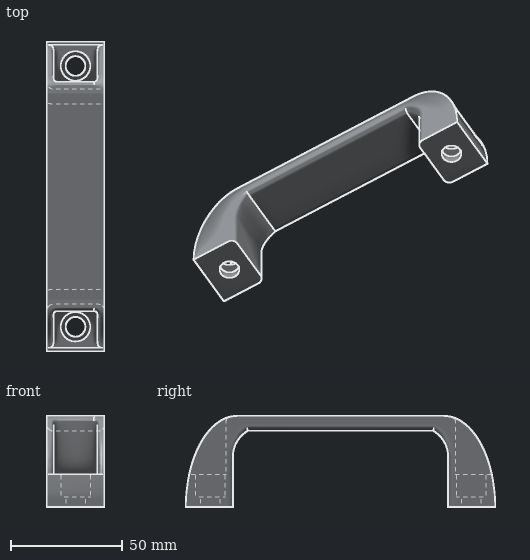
import cadquery as cq
import math

length = 139.0
width = 26.0
height = 41.0
half_length = length / 2
half_width = width / 2

end_run = 23.2
half_flat = half_length - end_run

leg_thickness = 21.3
grip_thickness = 6.8
arc_start_height = 22.7
opening_arc_radius = 13.3
opening_edge_radius = 3.0
opening_half = half_length - leg_thickness
opening_top = height - grip_thickness
arc_top = arc_start_height + opening_arc_radius

floor_height = 14.7
pocket_width = 19.7
pocket_wall_inset = 18.1
pocket_corner_radius = 1.7
rim_radius = 2.1

hole_inset = 11.0
hole_diameter = 8.8
counterbore_diameter = 13.2
counterbore_depth = 10.0

tolerance = 0.01


def make_outer_body():
    """Solid arch profile with elliptical ends, extruded across the width."""
    return (
        cq.Workplane("YZ", origin=(-half_width, 0, 0))
        .moveTo(half_length, 0)
        .ellipseArc(end_run, height, 0, 90, startAtCurrent=True)
        .lineTo(-half_flat, height)
        .ellipseArc(end_run, height, 90, 180, startAtCurrent=True)
        .close()
        .extrude(width)
    )


def fillet_where(body, edge_test, radius):
    """Round every edge of the body that passes the given test."""
    chosen = [edge for edge in body.edges().vals() if edge_test(edge)]
    return body.newObject(chosen).fillet(radius)


def make_legs():
    """Arch around a round-cornered opening, with its inner edges rounded."""
    opening = (
        cq.Workplane("XY")
        .box(width, 2 * opening_half, arc_top, centered=(True, True, False))
        .edges("|X and >Z")
        .fillet(opening_arc_radius)
    )
    return fillet_where(make_outer_body().cut(opening), is_opening_edge, opening_edge_radius)


def is_opening_edge(edge):
    """True for the opening's outline edges on the two side faces."""
    box = edge.BoundingBox()
    on_side = box.xlen < tolerance and abs(abs(box.center.x) - half_width) < tolerance
    inside = max(abs(box.ymin), abs(box.ymax)) < opening_half + tolerance
    return on_side and inside and box.zmax < arc_top + tolerance


def make_grip():
    """Straight grip with rounded lower edges, which meets the leg arcs at an angle."""
    return (
        cq.Workplane("XY", origin=(0, 0, opening_top))
        .box(width, 2 * half_flat, grip_thickness, centered=(True, True, False))
        .edges("|Y and <Z")
        .fillet(opening_edge_radius)
    )


def make_pocket():
    """Pocket open to the -Y end and top, with rounded vertical corners at its back wall."""
    back = pocket_wall_inset - half_length
    return (
        cq.Workplane("XY")
        .box(pocket_width, length, height, centered=(True, False, False))
        .edges("|Z and >Y")
        .fillet(pocket_corner_radius)
        .translate((0, back - length, floor_height))
    )


def is_rim_edge(edge):
    """True for pocket edges on the elliptical surface, except the front edge of the floor."""
    box = edge.BoundingBox()
    middle = edge.positionAt(0.5)
    surface_run = end_run * math.sqrt(max(0, 1 - (middle.z / height) ** 2))
    on_surface = abs(abs(middle.y) - half_flat - surface_run) < tolerance
    in_pocket = max(abs(box.xmin), abs(box.xmax)) < pocket_width / 2 + tolerance
    return on_surface and in_pocket and middle.z > floor_height + tolerance


def make_screw_hole():
    """Through hole with a counterbore sunk from the pocket floor."""
    counterbore_bottom = floor_height - counterbore_depth
    base = cq.Workplane("XY").center(0, hole_inset - half_length)
    hole = base.circle(hole_diameter / 2).extrude(floor_height)
    counterbore = (
        base.workplane(offset=counterbore_bottom)
        .circle(counterbore_diameter / 2)
        .extrude(counterbore_depth)
    )
    return hole.union(counterbore)


far_half = cq.Workplane("XY").box(length, length, length, centered=(True, False, True))
arch = make_legs().union(make_grip()).clean()
half = arch.cut(far_half).cut(make_pocket())
half = fillet_where(half, is_rim_edge, rim_radius)
half = half.cut(make_screw_hole())

result = half.union(half.mirror("XZ")).clean()